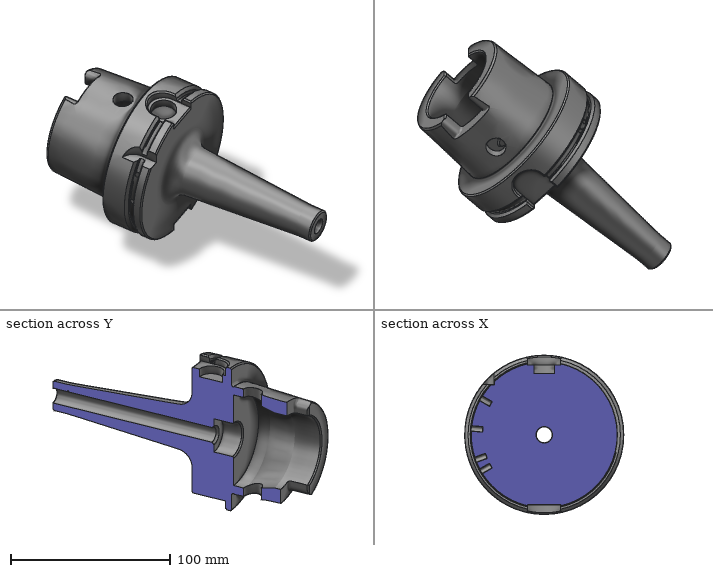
import cadquery as cq
import math


SHANK_TIP_RADIUS = 35.5
SHANK_BASE_RADIUS = 38.0
SHANK_LENGTH = 48.0
SHANK_TIP_CHAMFER_LENGTH = 1.5
SHANK_TIP_CHAMFER_DEPTH = 0.7
RELIEF_RADIUS = 37.5
RELIEF_FILLET = 1.5

FLANGE_DIAMETER = 100.0
FLANGE_RADIUS = FLANGE_DIAMETER / 2
FLANGE_START = 50.0
FLANGE_END = 78.8
FLANGE_CHAMFER = 0.9
GROOVE_LEFT_LIP = 66.4
GROOVE_LEFT_WALL = 68.0
GROOVE_RIGHT_WALL = 71.8
GROOVE_RIGHT_LIP = 73.0
GROOVE_LIP_DEPTH = 2.1
GROOVE_FLOOR_RADIUS = 46.0
GROOVE_FLOOR_FILLET = 0.5

TOTAL_LENGTH = 179.0
NOSE_CONE_START = 87.9
NOSE_CONE_START_DIAMETER = 32.0
NOSE_CONE_START_RADIUS = NOSE_CONE_START_DIAMETER / 2
NOSE_CONE_END = 168.8
NOSE_TIP_DIAMETER = 21.0
NOSE_TIP_RADIUS = NOSE_TIP_DIAMETER / 2
NOSE_ROOT_FILLET = 10.0
NOSE_TIP_CHAMFER = 0.9

BORE_RADIUS = 26.1
BORE_CHAMFER = 0.9
UNDERCUT_START = 19.0
UNDERCUT_CONE_END = 40.0
UNDERCUT_RADIUS = 31.5
CAVITY_DEPTH = 48.3
THREAD_BORE_RADIUS = 11.5
THREAD_BORE_DEPTH = 14.3
THREAD_BORE_CHAMFER = 0.9
TOOL_BORE_RADIUS = 5.0
TOOL_BORE_CHAMFER = 1.5

DRIVE_SLOT_WIDTH = 19.9
DRIVE_SLOT_HALF_WIDTH = DRIVE_SLOT_WIDTH / 2
DRIVE_SLOT_EDGE_RADIUS = 4.7
DRIVE_SLOT_SHELF = 32.2
DRIVE_SLOT_END_FILLET = 1.6
DRIVE_SLOT_MOUTH_CHAMFER = 1.0
TOP_DRIVE_SLOT_DEPTH = 9.8
BOTTOM_DRIVE_SLOT_DEPTH = 14.5

SHANK_HOLE_X = 34.9
SHANK_HOLE_RADIUS = 6.3

KEY_SLOT_HALF_WIDTH = 10.4
KEY_SLOT_FLOOR = 44.0
KEY_SLOT_CENTRE_X = 64.8
KEY_SLOT_RIM_CHAMFER = 1.0
CHIP_POCKET_RADIUS = 8.2
CHIP_POCKET_DEPTH = 5.4

NOTCH_OFFSET = 31.5
NOTCH_CORNER_RADIUS = 10.0
NOTCH_START = 57.8

GROOVE_HOLE_ANGLES = (30, 5, -20, -30)
GROOVE_HOLE_RADIUS = 1.6
GROOVE_HOLE_DEPTH = 7.2

CLEARANCE = 9.0
SELECTION_MARGIN = 0.2


def revolve_about_x(outline):
    return outline.close().revolve(360, (0, 0, 0), (1, 0, 0))


def turn_half(body):
    return body.rotate((0, 0, 0), (1, 0, 0), 180)


def make_shank():
    mouth_radius = SHANK_TIP_RADIUS - SHANK_TIP_CHAMFER_DEPTH
    diagonal = RELIEF_FILLET * (1 - math.sqrt(0.5))
    return revolve_about_x(
        cq.Workplane("XY")
        .lineTo(0, mouth_radius)
        .lineTo(SHANK_TIP_CHAMFER_LENGTH, SHANK_TIP_RADIUS)
        .lineTo(SHANK_LENGTH, SHANK_BASE_RADIUS)
        .lineTo(FLANGE_START - RELIEF_FILLET, RELIEF_RADIUS)
        .threePointArc(
            (FLANGE_START - diagonal, RELIEF_RADIUS + diagonal),
            (FLANGE_START, RELIEF_RADIUS + RELIEF_FILLET),
        )
        .lineTo(FLANGE_START, 0)
    )


def make_flange_blank():
    return (
        cq.Workplane("YZ", origin=(FLANGE_START, 0, 0))
        .circle(FLANGE_RADIUS)
        .extrude(FLANGE_END - FLANGE_START)
    )


def make_nose():
    """Root fillet tangent to the flange face and the cone, then a short cylinder."""
    cone_angle = math.atan2(NOSE_CONE_START_RADIUS - NOSE_TIP_RADIUS, NOSE_CONE_END - NOSE_CONE_START)
    centre_x = FLANGE_END + NOSE_ROOT_FILLET
    tangent_x = centre_x - NOSE_ROOT_FILLET * math.sin(cone_angle)
    tangent_radius = NOSE_CONE_START_RADIUS + (NOSE_CONE_START - tangent_x) * math.tan(cone_angle)
    centre_radius = tangent_radius + NOSE_ROOT_FILLET * math.cos(cone_angle)
    middle = NOSE_ROOT_FILLET * math.sqrt(0.5)
    return revolve_about_x(
        cq.Workplane("XY")
        .moveTo(FLANGE_END, 0)
        .lineTo(FLANGE_END, centre_radius)
        .threePointArc((centre_x - middle, centre_radius - middle), (tangent_x, tangent_radius))
        .lineTo(NOSE_CONE_END, NOSE_TIP_RADIUS)
        .lineTo(TOTAL_LENGTH - NOSE_TIP_CHAMFER, NOSE_TIP_RADIUS)
        .lineTo(TOTAL_LENGTH, NOSE_TIP_RADIUS - NOSE_TIP_CHAMFER)
        .lineTo(TOTAL_LENGTH, 0)
    )


def make_cavity():
    thread_end = CAVITY_DEPTH + THREAD_BORE_DEPTH
    return revolve_about_x(
        cq.Workplane("XY")
        .lineTo(0, BORE_RADIUS + BORE_CHAMFER)
        .lineTo(BORE_CHAMFER, BORE_RADIUS)
        .lineTo(UNDERCUT_START, BORE_RADIUS)
        .lineTo(UNDERCUT_CONE_END, UNDERCUT_RADIUS)
        .lineTo(CAVITY_DEPTH, UNDERCUT_RADIUS)
        .lineTo(CAVITY_DEPTH, THREAD_BORE_RADIUS + THREAD_BORE_CHAMFER)
        .lineTo(CAVITY_DEPTH + THREAD_BORE_CHAMFER, THREAD_BORE_RADIUS)
        .lineTo(thread_end, THREAD_BORE_RADIUS)
        .lineTo(thread_end, TOOL_BORE_RADIUS + TOOL_BORE_CHAMFER)
        .lineTo(thread_end + TOOL_BORE_CHAMFER, TOOL_BORE_RADIUS)
        .lineTo(TOTAL_LENGTH, TOOL_BORE_RADIUS)
        .lineTo(TOTAL_LENGTH, 0)
    )


def make_groove():
    lip_radius = FLANGE_RADIUS - GROOVE_LIP_DEPTH
    outside = FLANGE_RADIUS + CLEARANCE
    ring = revolve_about_x(
        cq.Workplane("XY")
        .moveTo(GROOVE_LEFT_LIP, outside)
        .lineTo(GROOVE_LEFT_LIP, FLANGE_RADIUS)
        .lineTo(GROOVE_LEFT_WALL, lip_radius)
        .lineTo(GROOVE_LEFT_WALL, GROOVE_FLOOR_RADIUS)
        .lineTo(GROOVE_RIGHT_WALL, GROOVE_FLOOR_RADIUS)
        .lineTo(GROOVE_RIGHT_WALL, lip_radius)
        .lineTo(GROOVE_RIGHT_LIP, FLANGE_RADIUS)
        .lineTo(GROOVE_RIGHT_LIP, outside)
    )
    floor_corners = cq.selectors.RadiusNthSelector(0)
    return ring.edges(floor_corners).fillet(GROOVE_FLOOR_FILLET)


def make_drive_slot(depth):
    """Cutter on the +Z side: straight walls flaring over rounded edges to a flat shelf."""
    half = DRIVE_SLOT_HALF_WIDTH
    edge = DRIVE_SLOT_EDGE_RADIUS
    bottom = BORE_RADIUS - CLEARANCE
    top = SHANK_BASE_RADIUS + CLEARANCE
    side = half + edge + CLEARANCE
    arc_y = half + edge * (1 - math.sqrt(0.5))
    arc_z = DRIVE_SLOT_SHELF - edge * (1 - math.sqrt(0.5))
    slot = (
        cq.Workplane("YZ")
        .moveTo(-half, bottom)
        .lineTo(-half, DRIVE_SLOT_SHELF - edge)
        .threePointArc((-arc_y, arc_z), (-half - edge, DRIVE_SLOT_SHELF))
        .lineTo(-side, DRIVE_SLOT_SHELF)
        .lineTo(-side, top)
        .lineTo(side, top)
        .lineTo(side, DRIVE_SLOT_SHELF)
        .lineTo(half + edge, DRIVE_SLOT_SHELF)
        .threePointArc((arc_y, arc_z), (half, DRIVE_SLOT_SHELF - edge))
        .lineTo(half, bottom)
        .close()
        .extrude(depth)
        .faces(">X")
        .edges()
        .fillet(DRIVE_SLOT_END_FILLET)
    )
    chamfer = DRIVE_SLOT_MOUTH_CHAMFER
    mouth = (
        cq.Workplane("XY", origin=(0, 0, bottom))
        .moveTo(0, -half - chamfer)
        .lineTo(chamfer, -half)
        .lineTo(chamfer, half)
        .lineTo(0, half + chamfer)
        .close()
        .extrude(top - bottom)
    )
    return slot.union(mouth)


def make_key_slot():
    """Cutter on the +Z side, open towards the nose and round at the shank end."""
    height = FLANGE_RADIUS + CLEARANCE - KEY_SLOT_FLOOR
    length = FLANGE_END + CLEARANCE - KEY_SLOT_CENTRE_X
    base = cq.Workplane("XY", origin=(KEY_SLOT_CENTRE_X, 0, KEY_SLOT_FLOOR))
    round_end = base.circle(KEY_SLOT_HALF_WIDTH).extrude(height)
    straight = base.center(length / 2, 0).rect(length, 2 * KEY_SLOT_HALF_WIDTH).extrude(height)
    return round_end.union(straight)


def make_chip_pocket():
    bottom = KEY_SLOT_FLOOR - CHIP_POCKET_DEPTH
    return (
        cq.Workplane("XY", origin=(KEY_SLOT_CENTRE_X, 0, bottom))
        .circle(CHIP_POCKET_RADIUS)
        .extrude(CHIP_POCKET_DEPTH + CLEARANCE)
    )


def make_notch():
    """Corner cutter with a floor facing +Z, a wall facing -Y and a rounded end."""
    size = FLANGE_RADIUS - NOTCH_OFFSET + CLEARANCE
    length = FLANGE_END + CLEARANCE - NOTCH_START
    return (
        cq.Workplane("XY")
        .box(length, size, size, centered=False)
        .edges("|Z and <X and >Y")
        .fillet(NOTCH_CORNER_RADIUS)
        .translate((NOTCH_START, -NOTCH_OFFSET - size, NOTCH_OFFSET))
    )


def make_groove_hole(angle):
    middle_x = (GROOVE_LEFT_WALL + GROOVE_RIGHT_WALL) / 2
    bottom = GROOVE_FLOOR_RADIUS - GROOVE_HOLE_DEPTH
    hole = (
        cq.Workplane("XZ", origin=(middle_x, -bottom, 0))
        .circle(GROOVE_HOLE_RADIUS)
        .extrude(GROOVE_HOLE_DEPTH + CLEARANCE)
    )
    return hole.rotate((0, 0, 0), (1, 0, 0), -angle)


def cut_key_slot(flange):
    """Cut the +Z key slot and break its rim on the outer cylinder."""
    rim_height = math.sqrt(FLANGE_RADIUS**2 - KEY_SLOT_HALF_WIDTH**2)
    rim = cq.selectors.BoxSelector(
        (FLANGE_START, -KEY_SLOT_HALF_WIDTH - SELECTION_MARGIN, rim_height - SELECTION_MARGIN),
        (FLANGE_END, KEY_SLOT_HALF_WIDTH + SELECTION_MARGIN, FLANGE_RADIUS),
    )
    return flange.cut(make_key_slot()).edges(rim).chamfer(KEY_SLOT_RIM_CHAMFER)


def make_flange():
    """Key slot rims are broken before the groove and notch cut across them."""
    blank = make_flange_blank()
    chamfered_blank = blank.edges("%CIRCLE").chamfer(FLANGE_CHAMFER)
    flange = turn_half(cut_key_slot(turn_half(cut_key_slot(blank))))
    slot_floor_ends = "|Y and >X"
    flange = flange.edges(slot_floor_ends).chamfer(FLANGE_CHAMFER)
    flange = flange.intersect(chamfered_blank)
    flange = flange.cut(make_chip_pocket()).cut(make_groove()).cut(make_notch())
    for angle in GROOVE_HOLE_ANGLES:
        flange = flange.cut(make_groove_hole(angle))
    return flange


def make_shank_hole():
    reach = SHANK_BASE_RADIUS + CLEARANCE
    return (
        cq.Workplane("XY", origin=(SHANK_HOLE_X, 0, -reach))
        .circle(SHANK_HOLE_RADIUS)
        .extrude(2 * reach)
    )


result = (
    make_shank()
    .union(make_flange())
    .union(make_nose())
    .cut(make_cavity())
    .cut(make_drive_slot(TOP_DRIVE_SLOT_DEPTH))
    .cut(turn_half(make_drive_slot(BOTTOM_DRIVE_SLOT_DEPTH)))
    .cut(make_shank_hole())
)